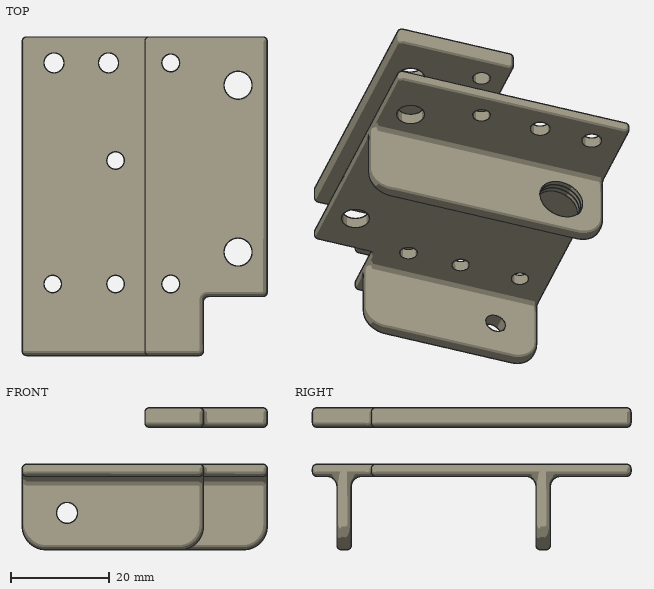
import cadquery as cq

LENGTH = 65.0
WIDTH = 50.0
HEIGHT = 29.0

NOTCH_X = 37.0
NOTCH_DEPTH = 12.0
NOTCH_CORNER_RADIUS = 1.0

EDGE_RADIUS = 1.0

COVER_THICKNESS = 4.0
COVER_BOTTOM = HEIGHT - COVER_THICKNESS
COVER_LEFT = WIDTH / 2

BRACKET_TOP = 17.5
BRACKET_THICKNESS = 2.55
BRACKET_UNDERSIDE = BRACKET_TOP - BRACKET_THICKNESS

EAR_THICKNESS = 3.0
EAR_CORNER_RADIUS = 4.9
EAR_ROOT_RADIUS = 2.0
FRONT_EAR_Y = 5.0
REAR_EAR_Y = 45.55
EARS = [(FRONT_EAR_Y, NOTCH_X), (REAR_EAR_Y, WIDTH)]

REAR_ROW_Y = 59.7
FRONT_ROW_Y = 14.6
FASTENER_HOLE_DIAMETER = 3.6
FASTENER_HOLE_X = 30.3
FASTENER_HOLES = [(FASTENER_HOLE_X, REAR_ROW_Y), (FASTENER_HOLE_X, FRONT_ROW_Y)]
LARGE_HOLE_DIAMETER = 5.65
LARGE_HOLE_X = 44.0
LARGE_HOLES = [(LARGE_HOLE_X, 55.1), (LARGE_HOLE_X, 21.1)]
REAR_HOLE_DIAMETER = 4.0
REAR_HOLES = [(6.5, REAR_ROW_Y), (17.6, REAR_ROW_Y)]
SMALL_HOLE_DIAMETER = 3.5
INNER_HOLE_X = 19.05
SMALL_HOLES = [(6.25, FRONT_ROW_Y), (INNER_HOLE_X, FRONT_ROW_Y), (INNER_HOLE_X, 39.8)]

BORE_X = 9.15
BORE_Z = 7.55
FRONT_BORE_DIAMETER = 4.2

REAR_BORE_DIAMETER = 9.05
REAR_BORE_TURNS = 3
TURN_DEPTH = 0.1


def notched_plate(left, bottom, thickness):
    """Plate from `left` to the +X side, with the corner notch and its rounded inner corner."""
    return (
        cq.Workplane("XY", origin=(0, 0, bottom))
        .moveTo(left, 0)
        .lineTo(NOTCH_X, 0)
        .lineTo(NOTCH_X, NOTCH_DEPTH - NOTCH_CORNER_RADIUS)
        .radiusArc((NOTCH_X + NOTCH_CORNER_RADIUS, NOTCH_DEPTH), NOTCH_CORNER_RADIUS)
        .lineTo(WIDTH, NOTCH_DEPTH)
        .lineTo(WIDTH, LENGTH)
        .lineTo(left, LENGTH)
        .close()
        .extrude(thickness)
    )


def drill(body, centers, diameter):
    """Cut vertical holes through the whole body."""
    cutter = cq.Workplane("XY").pushPoints(centers).circle(diameter / 2).extrude(HEIGHT)
    return body.cut(cutter)


def ear(front_y, length):
    """Upright ear that meets the plate's underside, with its two lower corners rounded."""
    block = cq.Workplane("XY", origin=(0, front_y, 0)).box(
        length, EAR_THICKNESS, BRACKET_UNDERSIDE, centered=False
    )
    return block.edges("|Y and <Z").fillet(EAR_CORNER_RADIUS)


def ear_roots(front_y, length):
    """Selector for the two long edges where an ear meets the plate's underside."""
    margin = 0.05
    low_corner = (EDGE_RADIUS, front_y - margin, BRACKET_UNDERSIDE - margin)
    high_corner = (length - EDGE_RADIUS, front_y + EAR_THICKNESS + margin, BRACKET_UNDERSIDE + margin)
    return cq.selectors.BoxSelector(low_corner, high_corner)


def front_bore():
    """Cutter for the plain round bore of the front ear."""
    bore_start = (BORE_X, FRONT_EAR_Y, BORE_Z)
    return cq.Workplane("XZ", origin=bore_start).circle(FRONT_BORE_DIAMETER / 2).extrude(-EAR_THICKNESS)


def rear_bore():
    """Cutter for the turned bore of the rear ear: a stepped profile revolved about the bore axis."""
    narrow = REAR_BORE_DIAMETER / 2
    pitch = EAR_THICKNESS / REAR_BORE_TURNS
    profile = cq.Workplane("XY", origin=(BORE_X, REAR_EAR_Y, BORE_Z)).moveTo(0, 0)
    for turn in range(REAR_BORE_TURNS):
        profile = profile.lineTo(narrow, turn * pitch)
        profile = profile.lineTo(narrow + TURN_DEPTH, (turn + 1) * pitch)
    return profile.lineTo(0, EAR_THICKNESS).close().revolve(360, (0, 0, 0), (0, 1, 0))


def make_cover():
    plate = notched_plate(COVER_LEFT, COVER_BOTTOM, COVER_THICKNESS)
    plate = plate.edges().fillet(EDGE_RADIUS)
    plate = drill(plate, FASTENER_HOLES, FASTENER_HOLE_DIAMETER)
    return drill(plate, LARGE_HOLES, LARGE_HOLE_DIAMETER)


def make_bracket():
    body = notched_plate(0, BRACKET_UNDERSIDE, BRACKET_THICKNESS)
    for front_y, length in EARS:
        body = body.union(ear(front_y, length))

    roots = ear_roots(*EARS[0]) + ear_roots(*EARS[1])
    outer_edges = cq.selectors.InverseSelector(roots)
    body = body.edges(outer_edges).fillet(EDGE_RADIUS)
    body = body.edges(roots).fillet(EAR_ROOT_RADIUS)

    body = drill(body, FASTENER_HOLES, FASTENER_HOLE_DIAMETER)
    body = drill(body, LARGE_HOLES, LARGE_HOLE_DIAMETER)
    body = drill(body, REAR_HOLES, REAR_HOLE_DIAMETER)
    body = drill(body, SMALL_HOLES, SMALL_HOLE_DIAMETER)
    return body.cut(front_bore()).cut(rear_bore())


cover = make_cover()
bracket = make_bracket()
result = cq.Compound.makeCompound([*cover.solids().vals(), *bracket.solids().vals()])